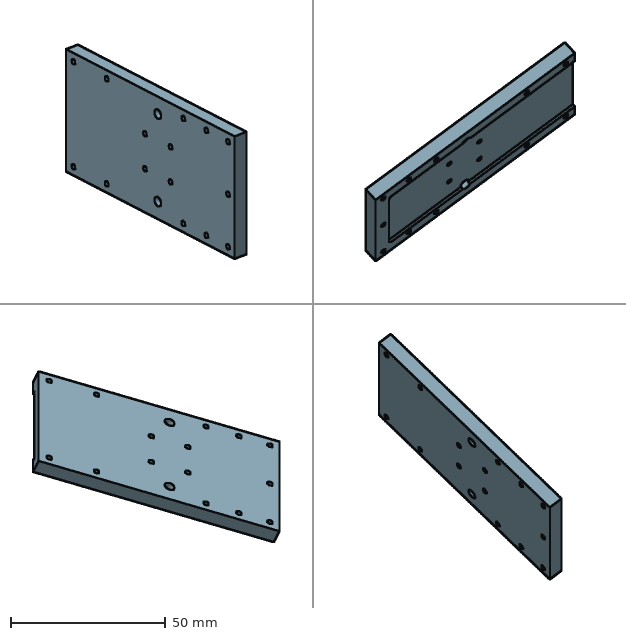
import cadquery as cq

INCH = 25.4
LENGTH = 3.30 * INCH
THICKNESS = 0.20 * INCH
HEIGHT = 1.75 * INCH

PATTERN_RIGHT_MARGIN = 1.505 * INCH
PATTERN_X = LENGTH / 2 - PATTERN_RIGHT_MARGIN
SMALL_DIAMETER = 0.07 * INCH
LARGE_DIAMETER = 0.128 * INCH
ROW_Z = 0.75 * INCH
ROW_OFFSETS = [-1.65 * INCH, -1.00 * INCH, 0.50 * INCH, 0.95 * INCH]
END_COLUMN_OFFSET = 1.375 * INCH
SQUARE_PITCH = 0.50 * INCH
LARGE_Z = 0.625 * INCH

RECESS_HEIGHT = 1.30 * INCH
RECESS_DEPTH = 0.04 * INCH
RECESS_CORNER_RADIUS = 0.05 * INCH
RECESS_MARGIN = (HEIGHT - RECESS_HEIGHT) / 2
RECESS_LENGTH = LENGTH - RECESS_MARGIN


def make_plate():
    return cq.Workplane("XY").box(LENGTH, THICKNESS, HEIGHT)


def make_recess():
    """Recess volume, with the two corners at its closed +X end rounded."""
    block = cq.Workplane("XY").box(RECESS_LENGTH, RECESS_DEPTH, RECESS_HEIGHT)
    block = block.edges("|Y and >X").fillet(RECESS_CORNER_RADIUS)
    return block.translate((-RECESS_MARGIN / 2, (THICKNESS - RECESS_DEPTH) / 2, 0))


def make_holes(points, diameter):
    """Holes through the whole thickness at (x, z) points."""
    plane = cq.Workplane("XZ", origin=(PATTERN_X, 0, 0))
    return plane.pushPoints(points).circle(diameter / 2).extrude(THICKNESS, both=True)


def small_hole_points():
    points = [(x, z) for x in ROW_OFFSETS for z in (-ROW_Z, ROW_Z)]
    points += [(END_COLUMN_OFFSET, z) for z in (-ROW_Z, 0, ROW_Z)]
    half_pitch = SQUARE_PITCH / 2
    points += [(x, z) for x in (-half_pitch, half_pitch) for z in (-half_pitch, half_pitch)]
    return points


large_hole_points = [(0, -LARGE_Z), (0, LARGE_Z)]

result = (
    make_plate()
    .cut(make_recess())
    .cut(make_holes(small_hole_points(), SMALL_DIAMETER))
    .cut(make_holes(large_hole_points, LARGE_DIAMETER))
)